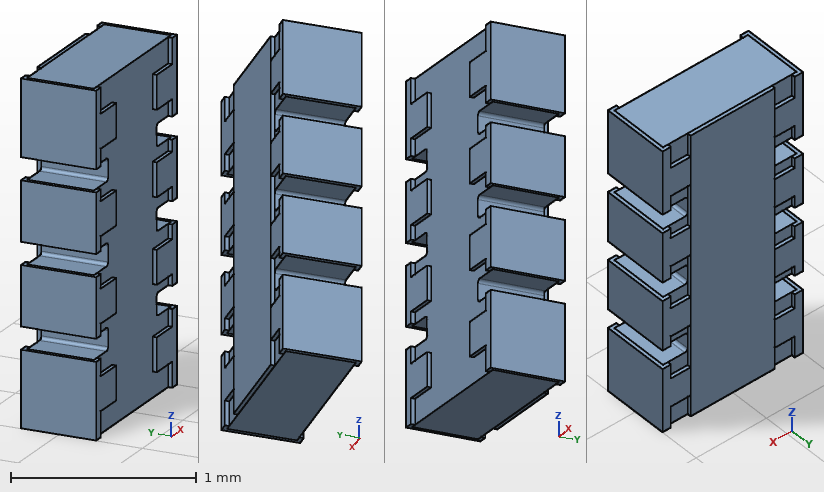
import cadquery as cq

ARRAY_WIDTH = 1.0
ARRAY_DEPTH = 0.45
ARRAY_HEIGHT = 2.0

CORE_DEPTH = 0.4
METAL = (ARRAY_DEPTH - CORE_DEPTH) / 2
CORE_WIDTH = ARRAY_WIDTH - 2 * METAL

NOTCH_DEPTH = 0.2
NOTCH_HEIGHT = 0.132
NOTCH_PITCH = 0.485
NOTCH_RADIUS = 0.02

LIP_REACH = 0.06
FRONT_TAB_REACH = 0.25
TAB_HEIGHT = 0.2
TAB_PITCH = 0.5

BACK_TAB_REACH = NOTCH_DEPTH
COAT_WIDTH = ARRAY_WIDTH - 2 * BACK_TAB_REACH

SIDES = (-1, 1)
TERMINALS_PER_SIDE = 4
NOTCHES_PER_SIDE = TERMINALS_PER_SIDE - 1


def block(x_ends, y_ends, z_ends):
    """Box given by its two end coordinates along each axis, in either order."""
    spans = [abs(b - a) for a, b in (x_ends, y_ends, z_ends)]
    middle = tuple((a + b) / 2 for a, b in (x_ends, y_ends, z_ends))
    return cq.Workplane("XY").box(*spans).translate(middle)


def centred_positions(count, pitch):
    """Evenly spaced coordinates centred on zero, lowest first."""
    return [(i - (count - 1) / 2) * pitch for i in range(count)]


def make_notch(side, z_middle):
    """Cutter for one side notch, rounded at its inner corners."""
    outer_x = side * ARRAY_WIDTH / 2
    inner_x = side * (ARRAY_WIDTH / 2 - NOTCH_DEPTH)
    notch = block(
        (inner_x, outer_x),
        (-CORE_DEPTH / 2, CORE_DEPTH / 2),
        (z_middle - NOTCH_HEIGHT / 2, z_middle + NOTCH_HEIGHT / 2),
    )
    inner_edges = "|Y and " + ("<X" if side > 0 else ">X")
    return notch.edges(inner_edges).fillet(NOTCH_RADIUS)


def make_core():
    """Ceramic block with a row of notches down each side."""
    core = cq.Workplane("XY").box(CORE_WIDTH, CORE_DEPTH, ARRAY_HEIGHT)
    for side in SIDES:
        for z_middle in centred_positions(NOTCHES_PER_SIDE, NOTCH_PITCH):
            core = core.cut(make_notch(side, z_middle))
    return core


def make_terminal(side, z_ends, tab_z):
    """Metal cap wrapped around one side of the core between two notches."""
    outer_x = side * ARRAY_WIDTH / 2
    front_y = -ARRAY_DEPTH / 2
    back_y = ARRAY_DEPTH / 2
    tab_z_ends = (tab_z - TAB_HEIGHT / 2, tab_z + TAB_HEIGHT / 2)

    side_plate = block((outer_x, outer_x - side * METAL), (front_y, back_y), z_ends)
    terminal = side_plate
    for y_ends, tab_reach in (
        ((front_y, front_y + METAL), FRONT_TAB_REACH),
        ((back_y - METAL, back_y), BACK_TAB_REACH),
    ):
        lip = block((outer_x, outer_x - side * LIP_REACH), y_ends, z_ends)
        tab = block((outer_x, outer_x - side * tab_reach), y_ends, tab_z_ends)
        terminal = terminal.union(lip).union(tab)
    return terminal


def make_terminals():
    """All terminals, each reaching from one notch or end face to the next."""
    notches = centred_positions(NOTCHES_PER_SIDE, NOTCH_PITCH)
    bottoms = [-ARRAY_HEIGHT / 2] + [z + NOTCH_HEIGHT / 2 for z in notches]
    tops = [z - NOTCH_HEIGHT / 2 for z in notches] + [ARRAY_HEIGHT / 2]
    tabs = centred_positions(TERMINALS_PER_SIDE, TAB_PITCH)

    terminals = []
    for side in SIDES:
        for bottom, top, tab_z in zip(bottoms, tops, tabs):
            terminals.append(make_terminal(side, (bottom, top), tab_z))
    return terminals


def make_back_coat():
    """Protective layer over the middle of the back face, full height."""
    return block(
        (-COAT_WIDTH / 2, COAT_WIDTH / 2),
        (CORE_DEPTH / 2, ARRAY_DEPTH / 2),
        (-ARRAY_HEIGHT / 2, ARRAY_HEIGHT / 2),
    )


core = make_core()
back_coat = make_back_coat()
terminals = make_terminals()

result = cq.Compound.makeCompound(
    [core.val(), back_coat.val(), *[terminal.val() for terminal in terminals]]
)